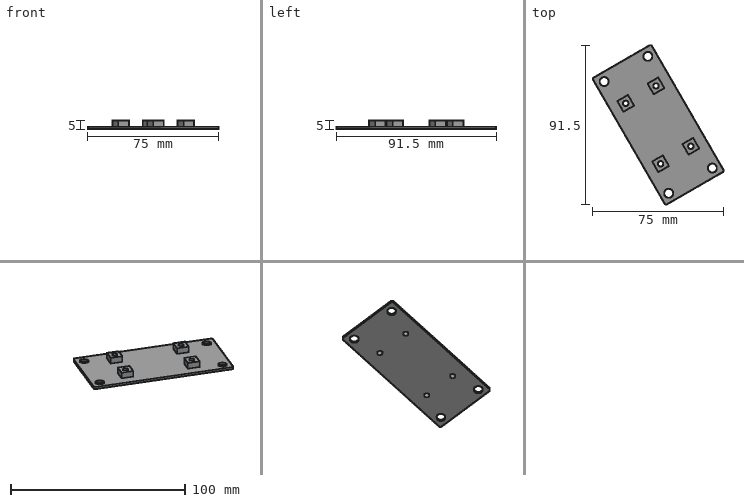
import cadquery as cq

plate_length = 84.0
plate_width = 39.0
plate_thickness = 1.5
corner_radius = 1.0
turn_angle = -60

mount_hole_diameter = 5.0
mount_hole_inset = 5.0
mount_spacing_x = plate_length - 2 * mount_hole_inset
mount_spacing_y = plate_width - 2 * mount_hole_inset

total_height = 5.0
standoff_side = 7.05
standoff_spacing_x = 40.0
standoff_spacing_y = 20.0
standoff_hole_diameter = 3.0


def at_corners(workplane, spacing_x, spacing_y):
    """Select the four corners of a centred rectangle."""
    return workplane.rect(spacing_x, spacing_y, forConstruction=True).vertices()


def make_plate():
    plate = cq.Workplane("XY").rect(plate_length, plate_width).extrude(plate_thickness)
    return plate.edges("|Z").fillet(corner_radius)


def make_standoffs():
    centres = at_corners(cq.Workplane("XY"), standoff_spacing_x, standoff_spacing_y)
    return centres.rect(standoff_side, standoff_side).extrude(total_height)


def make_hole_cutters(spacing_x, spacing_y, diameter):
    centres = at_corners(cq.Workplane("XY"), spacing_x, spacing_y)
    return centres.circle(diameter / 2).extrude(total_height)


mount_holes = make_hole_cutters(mount_spacing_x, mount_spacing_y, mount_hole_diameter)
standoff_holes = make_hole_cutters(standoff_spacing_x, standoff_spacing_y, standoff_hole_diameter)

body = make_plate().union(make_standoffs()).cut(mount_holes).cut(standoff_holes)
result = body.rotate((0, 0, 0), (0, 0, 1), turn_angle)